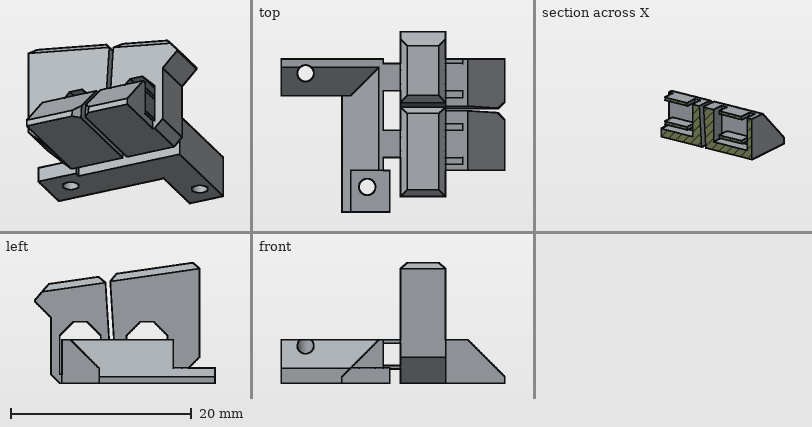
import cadquery as cq
import math

frame_height = 4.82
back_y = 16.95
back_bar_depth = 4.1
back_bar_lip = 1.66
spine_left_x = 6.72
spine_right_x = 11.3
spine_lip = 0.72
frame_front_y = 4.62

pad_right_x = 12.02
pad_height = 1.70

screw_diameter = 1.8
back_screw = (2.7, 15.35)
pad_screw = (9.52, 2.79)

key_left_x = 13.19
key_width = 5.0
key_right_x = key_left_x + key_width
key_chamfer = 0.76
key_top_tilt = math.radians(8.2)
front_key_y = 1.72
front_key_corner_z = 13.45
front_key_bevel = frame_front_y - front_key_y
rear_key_y = 18.16
rear_key_corner_z = 10.77
rear_key_bevel = 0.97
rear_lip_y = 19.95
rear_lip_bottom_z = 9.04
rear_top_bevel = 1.575

gap_tilt = math.radians(3.6)
gap_front_y = 10.91
gap_rear_y = 11.42

tip_x = 24.74
tip_height = 0.72
tip_chamfer = 0.75

leaf_width = 3.04
leaf_thickness = 0.4
lower_leaf_z = 1.57
upper_leaf_z = frame_height - leaf_thickness
window_clearance = 0.73
window_width = leaf_width + 2 * window_clearance
window_end_x = 20.06
window_floor_z = 1.0
window_top_z = 6.78
window_chamfer = 1.5
leaf_centers_y = (7.54, 14.92)


def along_x(points, x_start, x_end):
    """Prism along X with a (y, z) outline."""
    return cq.Workplane("YZ", origin=(x_start, 0, 0)).polyline(points).close().extrude(x_end - x_start)


def along_y(points, y_start, y_end):
    """Prism along Y with an (x, z) outline."""
    return cq.Workplane("XZ", origin=(0, y_start, 0)).polyline(points).close().extrude(y_start - y_end)


def block(x_start, x_end, y_start, y_end, z_start, z_end):
    """Axis-aligned box between two corners."""
    size = (x_end - x_start, y_end - y_start, z_end - z_start)
    return cq.Workplane("XY").box(*size, centered=False).translate((x_start, y_start, z_start))


def gap_y(base_y, z):
    """Y position of a slanted gap face at height z."""
    return base_y + z * math.tan(gap_tilt)


def top_meets_gap(corner_y, corner_z, base_y):
    """Point where the tilted top through a corner meets a slanted gap face."""
    top_slope = math.tan(key_top_tilt)
    z = (corner_z - top_slope * (base_y - corner_y)) / (1 + top_slope * math.tan(gap_tilt))
    return gap_y(base_y, z), z


def make_frame():
    slope_run = frame_height - back_bar_lip
    bar_front_y = back_y - back_bar_depth
    back_bar = along_x(
        [
            (bar_front_y, 0),
            (back_y, 0),
            (back_y, frame_height),
            (bar_front_y + slope_run, frame_height),
            (bar_front_y, back_bar_lip),
        ],
        0,
        spine_right_x,
    )
    spine_outline = [
        (spine_left_x, 0),
        (spine_right_x, 0),
        (spine_right_x, frame_height),
        (spine_left_x + frame_height - spine_lip, frame_height),
        (spine_left_x, spine_lip),
    ]
    spine = along_y(spine_outline, frame_front_y, back_y)
    pad_outline = [
        (spine_left_x, 0),
        (pad_right_x, 0),
        (pad_right_x, pad_height),
        (spine_left_x + pad_height - spine_lip, pad_height),
        (spine_left_x, spine_lip),
    ]
    pad = along_y(pad_outline, 0, frame_front_y)
    return back_bar.union(spine).union(pad)


def make_front_key():
    outline = [
        (frame_front_y, 0),
        (gap_front_y, 0),
        top_meets_gap(front_key_y, front_key_corner_z, gap_front_y),
        (front_key_y, front_key_corner_z),
        (front_key_y, front_key_bevel),
    ]
    key = along_x(outline, key_left_x, key_right_x)
    return key.faces(">Z").edges().chamfer(key_chamfer)


def make_rear_key():
    overhang = rear_lip_y - rear_key_y
    outline = [
        (gap_rear_y, 0),
        (rear_key_y - rear_key_bevel, 0),
        (rear_key_y, rear_key_bevel),
        (rear_key_y, rear_lip_bottom_z - overhang),
        (rear_lip_y, rear_lip_bottom_z),
        (rear_lip_y, rear_key_corner_z - rear_top_bevel),
        (
            rear_lip_y - rear_top_bevel * math.cos(key_top_tilt),
            rear_key_corner_z + rear_top_bevel * math.sin(key_top_tilt),
        ),
        top_meets_gap(rear_lip_y, rear_key_corner_z, gap_rear_y),
    ]
    key = along_x(outline, key_left_x, key_right_x)
    return key.faces(">Z").edges("not >Y").chamfer(key_chamfer)


def make_tip_block(side_y, gap_base_y):
    """Wedge behind a key, from a straight outer side to the slanted gap face."""
    wedge = along_y(
        [
            (key_left_x, 0),
            (tip_x, 0),
            (tip_x, tip_height),
            (tip_x - (frame_height - tip_height), frame_height),
            (key_left_x, frame_height),
        ],
        frame_front_y,
        back_y,
    )
    section = along_x(
        [
            (side_y, 0),
            (gap_base_y, 0),
            (gap_y(gap_base_y, frame_height), frame_height),
            (side_y, frame_height),
        ],
        key_left_x,
        tip_x,
    )
    gap_side = ">Y" if gap_base_y > side_y else "<Y"
    return wedge.intersect(section.faces(">X").edges(gap_side).chamfer(tip_chamfer))


def make_window(center_y):
    """Passage with two chamfered top corners through a key and into its tip block."""
    half_width = window_width / 2
    outline = [
        (center_y - half_width, window_floor_z),
        (center_y + half_width, window_floor_z),
        (center_y + half_width, window_top_z - window_chamfer),
        (center_y + half_width - window_chamfer, window_top_z),
        (center_y - half_width + window_chamfer, window_top_z),
        (center_y - half_width, window_top_z - window_chamfer),
    ]
    return along_x(outline, key_left_x, window_end_x)


def make_leaf(center_y, bottom_z):
    """Thin flexible strip from the spine through the window to the tip block."""
    half_width = leaf_width / 2
    return block(
        spine_right_x,
        window_end_x,
        center_y - half_width,
        center_y + half_width,
        bottom_z,
        bottom_z + leaf_thickness,
    )


def screw_hole(center):
    return cq.Workplane("XY").center(*center).circle(screw_diameter / 2).extrude(frame_height)


front_key = make_front_key().union(make_tip_block(frame_front_y, gap_front_y))
rear_key = make_rear_key().union(make_tip_block(back_y, gap_rear_y))

result = make_frame().union(front_key).union(rear_key)
for leaf_center_y in leaf_centers_y:
    result = result.cut(make_window(leaf_center_y))
    for leaf_z in (lower_leaf_z, upper_leaf_z):
        result = result.union(make_leaf(leaf_center_y, leaf_z))
for screw_center in (back_screw, pad_screw):
    result = result.cut(screw_hole(screw_center))